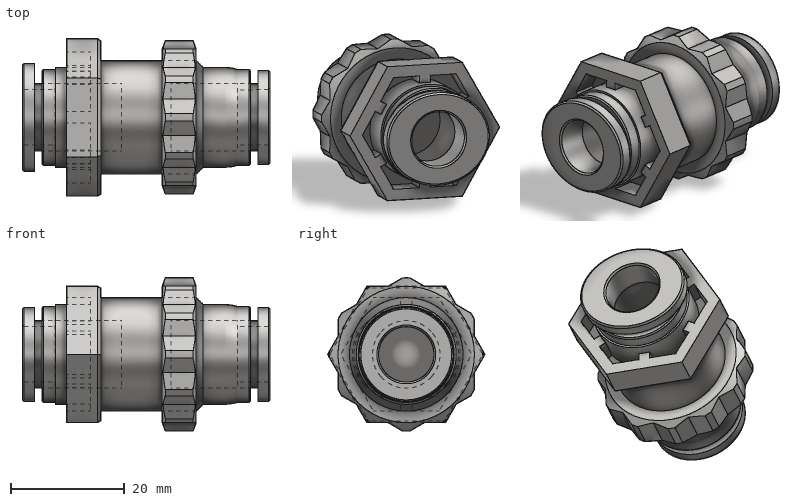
import cadquery as cq
import math

overall_length = 43.6

sleeve_bore_dia = 9.75
sleeve_neck_dia = 11.9
sleeve_length = 5.75
flange_thickness = 2.15
flange_dia = 16.6
oval_flange_width = 19.0
sleeve_chamfer = 0.3

sleeve_gap = 1.3
body_inset = flange_thickness + sleeve_gap
end_ring_inset = 5.8
shoulder_inset = 7.8
end_ring_dia = 16.9
shoulder_dia = 17.6
barrel_dia = 20.0
end_chamfer = 0.25
socket_depth = 14.0

collar_flats = 24.0
collar_length = 6.0
collar_chamfer_length = 0.55
collar_chamfer_angle = 30.0
collar_wall = 2.0
web_width = 2.0
pocket_depth = 4.2

nut_start = 24.6
nut_length = 6.0
nut_flats = 24.0
nut_crest_dia = 27.0
nut_face_dia = 24.0
nut_chamfer_angle = 20.0

body_start = body_inset
body_end = overall_length - body_inset
collar_start = shoulder_inset
collar_end = collar_start + collar_length
nut_end = nut_start + nut_length


def yz_plane(x):
    """Sketch plane across the axis, with local x along +Y and local y along +Z."""
    return cq.Workplane("YZ", origin=(x, 0, 0))


def disc(dia, start, end):
    """Cylinder on the X axis between two positions."""
    return yz_plane(start).circle(dia / 2).extrude(end - start)


def hexagon(flats, x):
    """Hexagon sketch with corners on +Y and -Y and flats on top and bottom."""
    return yz_plane(x).polygon(6, flats / math.cos(math.pi / 6))


def revolve_about_x(profile):
    return profile.close().revolve(360, (0, 0, 0), (1, 0, 0))


def make_sleeve(flange_width):
    """Release sleeve with its flange face at X = 0 and its neck pointing along +X."""
    flange = (
        yz_plane(0)
        .ellipse(flange_width / 2, flange_dia / 2)
        .extrude(flange_thickness)
        .faces("<X")
        .edges()
        .chamfer(sleeve_chamfer)
    )
    neck = disc(sleeve_neck_dia, flange_thickness, sleeve_length)
    bore = disc(sleeve_bore_dia, 0, sleeve_length)
    bore_chamfer = cq.Solid.makeCone(
        sleeve_bore_dia / 2 + sleeve_chamfer,
        sleeve_bore_dia / 2,
        sleeve_chamfer,
        dir=cq.Vector(1, 0, 0),
    )
    return flange.union(neck).cut(bore).cut(bore_chamfer)


def make_collar():
    """Hexagonal collar with its right-hand edges chamfered along each flat."""
    straight = hexagon(collar_flats, collar_start).extrude(collar_length - collar_chamfer_length)
    chamfered = hexagon(collar_flats, collar_end - collar_chamfer_length).extrude(
        collar_chamfer_length, taper=collar_chamfer_angle
    )
    return straight.union(chamfered)


def make_collar_pockets():
    """Hexagonal recess in the collar's left face, split into corner pockets by webs at the flats."""
    pockets = hexagon(collar_flats - 2 * collar_wall, collar_start).extrude(pocket_depth)
    for angle in (0, 60, 120):
        web = (
            yz_plane(collar_start)
            .rect(web_width, collar_flats)
            .extrude(pocket_depth)
            .rotate((0, 0, 0), (1, 0, 0), angle)
        )
        pockets = pockets.cut(web)
    return pockets


def make_body():
    end_radius = end_ring_dia / 2
    shoulder_radius = shoulder_dia / 2
    barrel_radius = barrel_dia / 2
    cone_end = nut_end + barrel_radius - shoulder_radius
    barrel = revolve_about_x(
        cq.Workplane("XY")
        .moveTo(body_start, 0)
        .lineTo(body_start, end_radius - end_chamfer)
        .lineTo(body_start + end_chamfer, end_radius)
        .lineTo(end_ring_inset, end_radius)
        .lineTo(end_ring_inset, shoulder_radius)
        .lineTo(collar_start + pocket_depth, shoulder_radius)
        .lineTo(collar_start + pocket_depth, barrel_radius)
        .lineTo(nut_end, barrel_radius)
        .lineTo(cone_end, shoulder_radius)
        .lineTo(overall_length - shoulder_inset, shoulder_radius)
        .tangentArcPoint((overall_length - end_ring_inset, end_radius), relative=False)
        .lineTo(body_end - end_chamfer, end_radius)
        .lineTo(body_end, end_radius - end_chamfer)
        .lineTo(body_end, 0)
    )
    left_socket = disc(sleeve_neck_dia, body_start, body_start + socket_depth)
    right_socket = disc(sleeve_neck_dia, body_end - socket_depth, body_end)
    collar = make_collar().cut(make_collar_pockets())
    return barrel.union(collar).cut(left_socket).cut(right_socket)


def make_nut():
    """Two crossed hexagons give twelve points, trimmed by a disc with coned faces."""
    star = hexagon(nut_flats, nut_start).extrude(nut_length)
    star = star.union(star.rotate((0, 0, 0), (1, 0, 0), 30))
    crest_radius = nut_crest_dia / 2
    face_radius = nut_face_dia / 2
    cone_length = (crest_radius - face_radius) * math.tan(math.radians(nut_chamfer_angle))
    envelope = revolve_about_x(
        cq.Workplane("XY")
        .moveTo(nut_start, 0)
        .lineTo(nut_start, face_radius)
        .lineTo(nut_start + cone_length, crest_radius)
        .lineTo(nut_end - cone_length, crest_radius)
        .lineTo(nut_end, face_radius)
        .lineTo(nut_end, 0)
    )
    return star.intersect(envelope).cut(disc(barrel_dia, nut_start, nut_end))


body = make_body()
nut = make_nut()
left_sleeve = make_sleeve(oval_flange_width)
right_sleeve = (
    make_sleeve(flange_dia)
    .rotate((0, 0, 0), (0, 0, 1), 180)
    .translate((overall_length, 0, 0))
)

bodies = [body, nut, left_sleeve, right_sleeve]

result = cq.Compound.makeCompound([part.solids().val() for part in bodies])